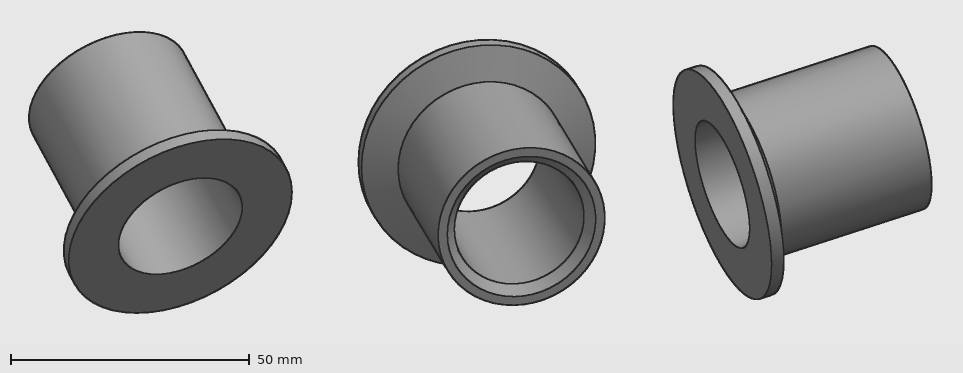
import cadquery as cq
import math

total_length = 40.0
flange_diameter = 50.5
tube_diameter = 36.0
bore_diameter = 28.0
rim_thickness = 2.85
cone_angle = 20.0
chamfer = 2.0

flange_radius = flange_diameter / 2
tube_radius = tube_diameter / 2
bore_radius = bore_diameter / 2
rim_start = total_length - rim_thickness
cone_length = (flange_radius - tube_radius) * math.tan(math.radians(cone_angle))

section = (
    cq.Workplane("XY")
    .moveTo(0, bore_radius + chamfer)
    .lineTo(0, tube_radius)
    .lineTo(rim_start - cone_length, tube_radius)
    .lineTo(rim_start, flange_radius)
    .lineTo(total_length, flange_radius)
    .lineTo(total_length, bore_radius)
    .lineTo(chamfer, bore_radius)
    .close()
)

result = section.revolve(360, (0, 0, 0), (1, 0, 0))